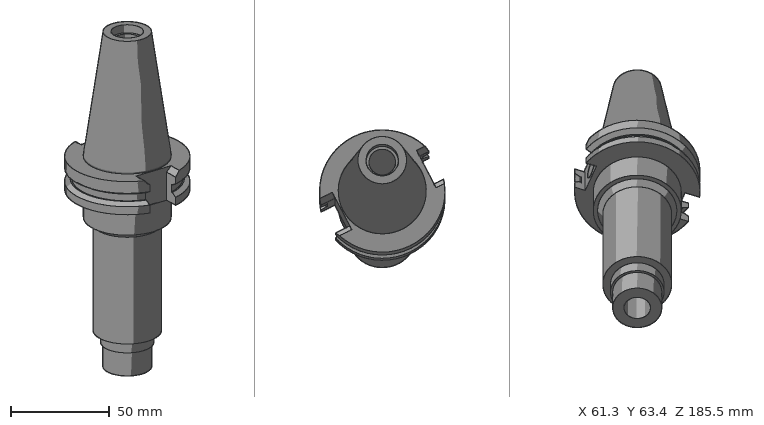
import cadquery as cq

total_height = 185.5
gauge_z = total_height - 68.5
flange_top = gauge_z - 0.5
flange_bottom = total_height - 87.3

gauge_radius = 22.3
taper_ratio = 7 / 24
taper_top_radius = gauge_radius - (total_height - gauge_z) * taper_ratio / 2

flange_radius = 31.7
groove_radius = 28.2
groove_wall_radius = 29.0
groove_mid_z = total_height - 79.2
groove_half_width = 3.7
groove_floor_half_width = 2.0

collar_radius = 22.3
collar_bottom = total_height - 103.0
cone_top_radius = 20.0
cone_bottom = total_height - 106.3
body_radius = 17.5
body_bottom = 20.0
step_radius = 13.5
step_bottom = 13.4
nose_radius = 12.5

bore_radius = 6.7
mouth_radius = 8.2
mouth_depth = 4.5

slot_width = 16.1
slot_flare = 2.8
slot_floor_left = 25.0
slot_floor_right = 22.8
pocket_radius = 4.8
pocket_depth = 0.2
pocket_z = flange_bottom + 8.2


def turned_body():
    profile = [
        (0, 0),
        (nose_radius, 0),
        (nose_radius, step_bottom),
        (step_radius, step_bottom),
        (step_radius, body_bottom),
        (body_radius, body_bottom),
        (body_radius, cone_bottom),
        (cone_top_radius, collar_bottom),
        (collar_radius, collar_bottom),
        (collar_radius, flange_bottom),
        (flange_radius, flange_bottom),
        (flange_radius, groove_mid_z - groove_half_width),
        (groove_wall_radius, groove_mid_z - groove_floor_half_width),
        (groove_radius, groove_mid_z - groove_floor_half_width),
        (groove_radius, groove_mid_z + groove_floor_half_width),
        (groove_wall_radius, groove_mid_z + groove_floor_half_width),
        (flange_radius, groove_mid_z + groove_half_width),
        (flange_radius, flange_top),
        (gauge_radius, flange_top),
        (gauge_radius, gauge_z),
        (taper_top_radius, total_height),
        (0, total_height),
    ]
    return cq.Workplane("XZ").polyline(profile).close().revolve(360, (0, 0), (0, 1))


def drive_slot(side, floor):
    """Slot through the flange, flared at the top; side is -1 or +1 along X."""
    half = slot_width / 2
    top_half = half + slot_flare
    outline = [
        (-half, flange_bottom),
        (half, flange_bottom),
        (half, flange_top - slot_flare),
        (top_half, flange_top),
        (-top_half, flange_top),
        (-half, flange_top - slot_flare),
    ]
    length = side * (flange_radius - floor)
    return cq.Workplane("YZ", origin=(side * floor, 0, 0)).polyline(outline).close().extrude(length)


def bore():
    through = cq.Workplane("XY").circle(bore_radius).extrude(total_height)
    mouth = cq.Workplane("XY", origin=(0, 0, total_height)).circle(mouth_radius).extrude(-mouth_depth)
    return through.union(mouth)


def slot_pocket():
    """Shallow round recess in the floor of the left drive slot."""
    floor_plane = cq.Workplane("YZ", origin=(-slot_floor_left, 0, pocket_z))
    return floor_plane.circle(pocket_radius).extrude(pocket_depth)


result = (
    turned_body()
    .cut(drive_slot(-1, slot_floor_left))
    .cut(drive_slot(1, slot_floor_right))
    .cut(bore())
    .cut(slot_pocket())
)